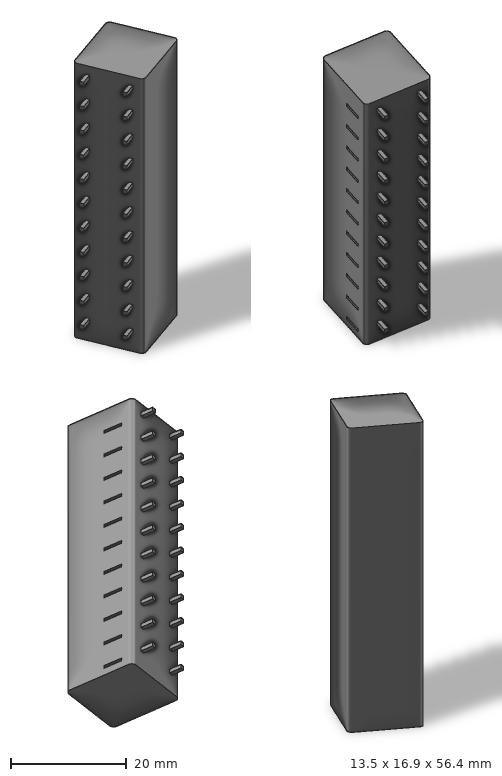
import cadquery as cq

height = 56.4
width = 13.5
overall_depth = 16.9
pin_length = 2.5
body_depth = overall_depth - pin_length
corner_radius = 0.85

row_count = 11
row_span = 49.95
pitch = row_span / (row_count - 1)

pin_size = 0.8
pin_column_spacing = 8.2
left_pin_inset = 2.75
top_pin_drop = 2.2

slot_length = 3.8
slot_height = 0.55
slot_depth = 1.0
slot_front_inset = 2.5
top_slot_drop = top_pin_drop + pitch / 2


def row_heights(top_drop):
    """Z of every row, from the top row down."""
    return [height - top_drop - row * pitch for row in range(row_count)]


def make_body():
    block = cq.Workplane("XY").box(width, body_depth, height, centered=False)
    return block.edges("|Z").fillet(corner_radius)


def make_pins():
    """All pins, growing from the -Y face at y = 0 toward -Y."""
    left_x = left_pin_inset
    right_x = left_x + pin_column_spacing
    centers = [(x, z) for x in (left_x, right_x) for z in row_heights(top_pin_drop)]
    return cq.Workplane("XZ").pushPoints(centers).rect(pin_size, pin_size).extrude(pin_length)


def make_slots():
    """Wedge cutters, each with a level floor and a roof that slopes down inward to meet it."""
    slots = cq.Workplane("XZ", origin=(0, slot_front_inset + slot_length, 0))
    for z in row_heights(top_slot_drop):
        floor = z - slot_height / 2
        roof = z + slot_height / 2
        slots = slots.moveTo(0, floor).lineTo(slot_depth, floor).lineTo(0, roof).close()
    return slots.extrude(slot_length)


result = make_body().union(make_pins()).cut(make_slots())